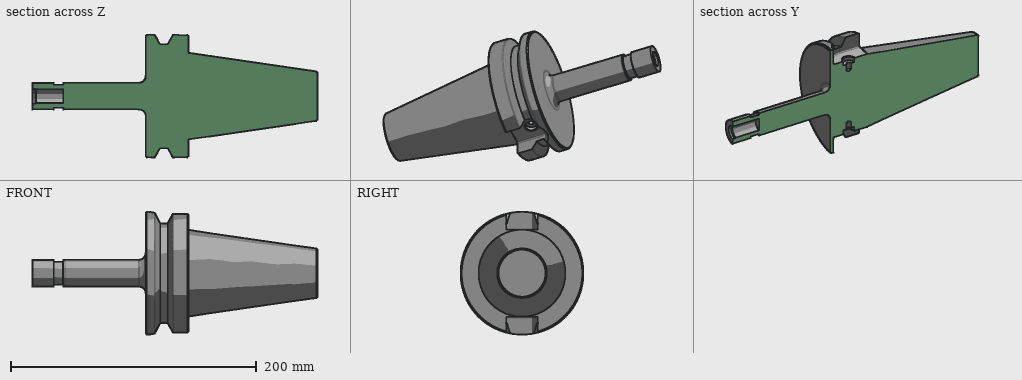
import cadquery as cq
import math


GAUGE_RADIUS = 69.85 / 2
TAPER_LENGTH = 101.8
TAPER_SLOPE = 7 / 24 / 2
TAPER_END_CHAMFER = 1.0

FLANGE_RADIUS = 50.0
FLANGE_FRONT = -38.0
FLANGE_BACK = -3.0
FLANGE_EDGE_CHAMFER = 1.0
GROOVE_CENTER = -23.2
GROOVE_FLOOR_WIDTH = 6.1
GROOVE_FLOOR_RADIUS = 42.5
GROOVE_HALF_ANGLE = 30.0
GROOVE_EDGE_FILLET = 0.7

NOSE_FRONT = -130.0
HEAD_RADIUS = 21.8 / 2
HEAD_LENGTH = 17.5
NECK_RADIUS = 9.5
NECK_LENGTH = 7.7
NECK_END_RADIUS = 19.7 / 2
NECK_FLARE_LENGTH = 0.6
SHOULDER_RADIUS = 21.8 / 2
SHOULDER_CHAMFER_LENGTH = 0.9
SHANK_RADIUS = 11.0
ROOT_FILLET = 5.0
ROOT_RAISE = 0.1
ROOT_RAMP = 0.9

BORE_MOUTH_RADIUS = 6.0
BORE_MOUTH_DEPTH = 2.3
BORE_CONE_LENGTH = 0.9
BORE_RADIUS = 5.5
BORE_DEPTH = 25.0

SLOT_WIDTH = 25.7
SLOT_FLOOR_HEIGHT = 35.4
SLOT_END = -34.6
SLOT_FLOOR_FILLET = 0.8
HOLE_X = -20.5
HOLE_DIAMETER = 10.0
HOLE_MOUTH_DIAMETER = 11.0
HOLE_DEPTH = 4.0
PILOT_DIAMETER = 4.0
PILOT_DEPTH = 10.0
DRILL_POINT_ANGLE = 118.0

SELECTION_MARGIN = 0.1
OVERLAP = 5.0


def revolve_about_x(profile):
    return profile.close().revolve(360, (0, 0, 0), (1, 0, 0))


def make_nose():
    neck_start = NOSE_FRONT + HEAD_LENGTH
    shoulder = neck_start + NECK_LENGTH
    raised_radius = SHANK_RADIUS + ROOT_RAISE
    raised_face = FLANGE_FRONT - ROOT_RAISE
    fillet_start = raised_face - ROOT_FILLET
    fillet_end_radius = raised_radius + ROOT_FILLET
    arc_offset = ROOT_FILLET * math.sqrt(0.5)
    fillet_middle = (fillet_start + arc_offset, fillet_end_radius - arc_offset)
    profile = (
        cq.Workplane("XY")
        .moveTo(NOSE_FRONT, 0)
        .lineTo(NOSE_FRONT, HEAD_RADIUS)
        .lineTo(neck_start, HEAD_RADIUS)
        .lineTo(neck_start, NECK_RADIUS)
        .lineTo(shoulder - NECK_FLARE_LENGTH, NECK_RADIUS)
        .lineTo(shoulder, NECK_END_RADIUS)
        .lineTo(shoulder, SHOULDER_RADIUS)
        .lineTo(shoulder + SHOULDER_CHAMFER_LENGTH, SHANK_RADIUS)
        .lineTo(fillet_start - ROOT_RAMP, SHANK_RADIUS)
        .lineTo(fillet_start, raised_radius)
        .threePointArc(fillet_middle, (raised_face, fillet_end_radius))
        .lineTo(FLANGE_FRONT, fillet_end_radius + ROOT_RAMP)
        .lineTo(FLANGE_BACK, fillet_end_radius + ROOT_RAMP)
        .lineTo(FLANGE_BACK, 0)
    )
    return revolve_about_x(profile)


def make_flange():
    disc = (
        cq.Workplane("YZ", origin=(FLANGE_FRONT, 0, 0))
        .circle(FLANGE_RADIUS)
        .extrude(FLANGE_BACK - FLANGE_FRONT)
    )
    disc = disc.edges("%CIRCLE").chamfer(FLANGE_EDGE_CHAMFER)

    half_floor = GROOVE_FLOOR_WIDTH / 2
    wall_height = FLANGE_RADIUS - GROOVE_FLOOR_RADIUS
    half_mouth = half_floor + wall_height * math.tan(math.radians(GROOVE_HALF_ANGLE))
    profile = (
        cq.Workplane("XY")
        .moveTo(GROOVE_CENTER - half_mouth, FLANGE_RADIUS)
        .lineTo(GROOVE_CENTER - half_floor, GROOVE_FLOOR_RADIUS)
        .lineTo(GROOVE_CENTER + half_floor, GROOVE_FLOOR_RADIUS)
        .lineTo(GROOVE_CENTER + half_mouth, FLANGE_RADIUS)
        .lineTo(GROOVE_CENTER + half_mouth, FLANGE_RADIUS + OVERLAP)
        .lineTo(GROOVE_CENTER - half_mouth, FLANGE_RADIUS + OVERLAP)
    )
    grooved = disc.cut(revolve_about_x(profile))
    for mouth_edge in (GROOVE_CENTER - half_mouth, GROOVE_CENTER + half_mouth):
        around_edge = cq.selectors.BoxSelector(
            (mouth_edge - SELECTION_MARGIN, -FLANGE_RADIUS, -FLANGE_RADIUS),
            (mouth_edge + SELECTION_MARGIN, FLANGE_RADIUS, FLANGE_RADIUS),
        )
        grooved = grooved.edges("%CIRCLE").edges(around_edge).fillet(GROOVE_EDGE_FILLET)
    return grooved


def make_taper():
    base_radius = GAUGE_RADIUS - FLANGE_BACK * TAPER_SLOPE
    end_radius = GAUGE_RADIUS - TAPER_LENGTH * TAPER_SLOPE
    profile = (
        cq.Workplane("XY")
        .moveTo(FLANGE_BACK, 0)
        .lineTo(FLANGE_BACK, base_radius)
        .lineTo(TAPER_LENGTH, end_radius)
        .lineTo(TAPER_LENGTH, 0)
    )
    return revolve_about_x(profile).faces(">X").edges().chamfer(TAPER_END_CHAMFER)


def make_bore():
    mouth_end = NOSE_FRONT + BORE_MOUTH_DEPTH
    profile = (
        cq.Workplane("XY")
        .moveTo(NOSE_FRONT, 0)
        .lineTo(NOSE_FRONT, BORE_MOUTH_RADIUS)
        .lineTo(mouth_end, BORE_MOUTH_RADIUS)
        .lineTo(mouth_end + BORE_CONE_LENGTH, BORE_RADIUS)
        .lineTo(NOSE_FRONT + BORE_DEPTH, BORE_RADIUS)
        .lineTo(NOSE_FRONT + BORE_DEPTH, 0)
    )
    return revolve_about_x(profile)


def make_slot():
    half_width = SLOT_WIDTH / 2
    arc_center = SLOT_END + half_width
    height = FLANGE_RADIUS + OVERLAP - SLOT_FLOOR_HEIGHT
    open_end = FLANGE_BACK + OVERLAP
    slot = (
        cq.Workplane("XY", origin=(0, 0, SLOT_FLOOR_HEIGHT))
        .moveTo(open_end, -half_width)
        .lineTo(arc_center, -half_width)
        .threePointArc((SLOT_END, 0), (arc_center, half_width))
        .lineTo(open_end, half_width)
        .close()
        .extrude(height)
    )
    return slot.faces("<Z").edges("not >X").fillet(SLOT_FLOOR_FILLET)


def make_coolant_hole():
    mouth_radius = HOLE_MOUTH_DIAMETER / 2
    hole_radius = HOLE_DIAMETER / 2
    mouth_depth = mouth_radius - hole_radius
    hole_bottom = SLOT_FLOOR_HEIGHT - HOLE_DEPTH
    pilot_radius = PILOT_DIAMETER / 2
    pilot_bottom = SLOT_FLOOR_HEIGHT - PILOT_DEPTH
    point_height = pilot_radius / math.tan(math.radians(DRILL_POINT_ANGLE / 2))
    profile = (
        cq.Workplane("XZ")
        .moveTo(0, SLOT_FLOOR_HEIGHT)
        .lineTo(mouth_radius, SLOT_FLOOR_HEIGHT)
        .lineTo(hole_radius, SLOT_FLOOR_HEIGHT - mouth_depth)
        .lineTo(hole_radius, hole_bottom)
        .lineTo(pilot_radius, hole_bottom)
        .lineTo(pilot_radius, pilot_bottom)
        .lineTo(0, pilot_bottom - point_height)
        .close()
    )
    return profile.revolve(360, (0, 0, 0), (0, 1, 0)).translate((HOLE_X, 0, 0))


result = make_nose().union(make_flange()).union(make_taper()).cut(make_bore())
for side_angle in (0, 180):
    for cutter in (make_slot(), make_coolant_hole()):
        result = result.cut(cutter.rotate((0, 0, 0), (1, 0, 0), side_angle))